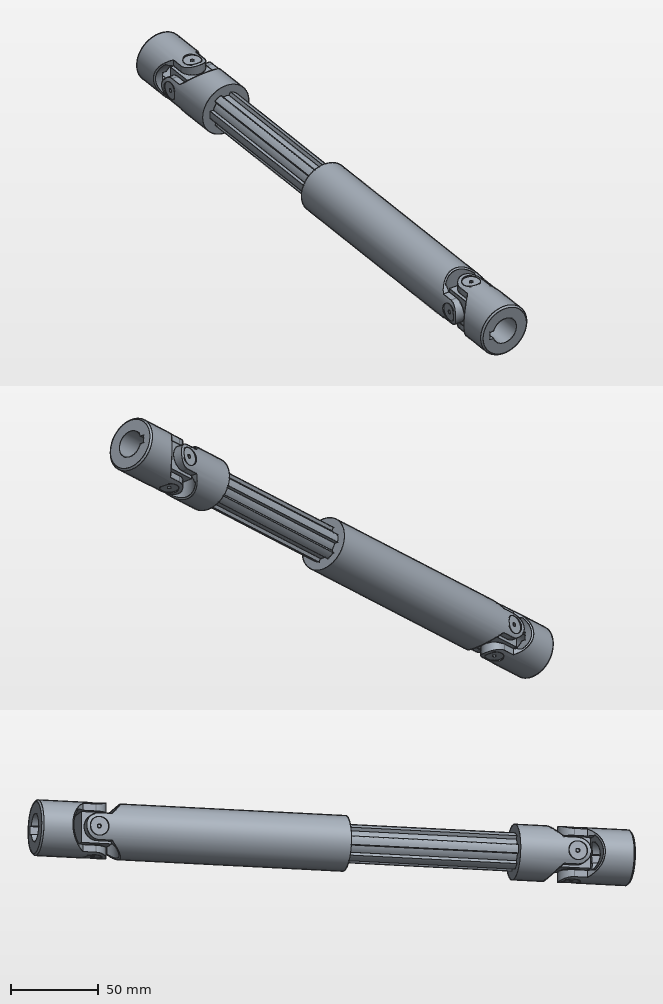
import cadquery as cq

total_length = 350.0
pin_offset = 34.0
left_joint_x = pin_offset
shaft_yoke_end_x = 2 * pin_offset
right_joint_x = total_length - pin_offset
sleeve_start_x = 167.5
spline_end_x = 297.0

outer_diameter = 32.0
outer_radius = outer_diameter / 2
arm_width = 15.5
arm_radius = arm_width / 2
fork_gap = 20.0
crotch_diameter = 30.0
bore_diameter = 16.0
keyway_width = 5.0
keyway_reach = 10.0
end_chamfer = 1.0

block_side = 18.0
pin_diameter = 11.0
pin_length = 30.0
dimple_diameter = 2.2
dimple_depth = 1.0

spline_count = 6
spline_root_diameter = 18.0
spline_outer_diameter = 22.0
spline_width = 5.0


def rod(diameter, start_x, end_x):
    """A cylinder about the X axis."""
    return cq.Workplane("YZ", origin=(start_x, 0, 0)).circle(diameter / 2).extrude(end_x - start_x)


def yoke(hub_length):
    """A yoke with its pin axis along Z through the origin and its hub running towards -X."""
    body = rod(outer_diameter, -hub_length, arm_radius)

    side_outline = (
        cq.Workplane("XY")
        .moveTo(-hub_length, -outer_radius)
        .lineTo(-outer_radius, -outer_radius)
        .lineTo(-arm_radius, -arm_radius)
        .lineTo(0, -arm_radius)
        .threePointArc((arm_radius, 0), (0, arm_radius))
        .lineTo(-arm_radius, arm_radius)
        .lineTo(-outer_radius, outer_radius)
        .lineTo(-hub_length, outer_radius)
        .close()
        .extrude(outer_radius, both=True)
    )
    body = body.intersect(side_outline)

    crotch = cq.Workplane("XZ").circle(crotch_diameter / 2).extrude(outer_radius, both=True)
    gap = cq.Workplane("XY").box(crotch_diameter, outer_diameter, fork_gap)
    body = body.cut(crotch.intersect(gap))

    pin_hole = cq.Workplane("XY").circle(pin_diameter / 2).extrude(outer_radius, both=True)
    return body.cut(pin_hole)


def end_yoke():
    """A yoke with a chamfered hub end and a keyed bore that opens into the crotch."""
    bore = rod(bore_diameter, -pin_offset, 0)
    keyway = cq.Workplane("XY").box(pin_offset, keyway_reach, keyway_width, centered=(False, False, True))
    keyway = keyway.translate((-pin_offset, -keyway_reach, 0))
    body = yoke(pin_offset).faces("<X").edges().chamfer(end_chamfer)
    return body.cut(bore).cut(keyway)


def turned_yoke(hub_length):
    """A yoke turned a quarter turn about X, so that its pin axis lies along Y."""
    return yoke(hub_length).rotate((0, 0, 0), (1, 0, 0), 90)


def splined_bar(start_x, end_x):
    """A bar about the X axis with straight-sided teeth, one of them on +Y."""
    bar = rod(spline_root_diameter, start_x, end_x)
    length = end_x - start_x
    tooth = cq.Workplane("XY").box(
        length, spline_outer_diameter / 2, spline_width, centered=(False, False, True)
    )
    tooth = tooth.translate((start_x, 0, 0)).intersect(rod(spline_outer_diameter, start_x, end_x))
    for index in range(spline_count):
        bar = bar.union(tooth.rotate((0, 0, 0), (1, 0, 0), index * 360 / spline_count))
    return bar


def cross():
    """A cube with a pin along Y and a pin along Z, dimpled at every pin end."""
    body = cq.Workplane("XY").box(block_side, block_side, block_side)
    pin = cq.Workplane("XY").circle(pin_diameter / 2).extrude(pin_length / 2, both=True)
    for side in (-1, 1):
        dimple = cq.Workplane("XY", origin=(0, 0, side * pin_length / 2)).circle(dimple_diameter / 2)
        pin = pin.cut(dimple.extrude(-side * dimple_depth))
    return body.union(pin).union(pin.rotate((0, 0, 0), (1, 0, 0), 90))


def mirrored(body):
    """Mirror a yoke so that its hub runs towards +X instead of -X."""
    return body.mirror("YZ")


left_end_yoke = end_yoke().translate((left_joint_x, 0, 0))
right_end_yoke = mirrored(end_yoke()).translate((right_joint_x, 0, 0))

splined_shaft = mirrored(turned_yoke(pin_offset)).translate((left_joint_x, 0, 0))
splined_shaft = splined_shaft.union(splined_bar(shaft_yoke_end_x, spline_end_x))

splined_sleeve = turned_yoke(right_joint_x - sleeve_start_x).translate((right_joint_x, 0, 0))
splined_sleeve = splined_sleeve.cut(splined_bar(sleeve_start_x, spline_end_x))

crosses = [cross().translate((x, 0, 0)) for x in (left_joint_x, right_joint_x)]

result = cq.Compound.makeCompound([
    left_end_yoke.val(),
    splined_shaft.val(),
    splined_sleeve.val(),
    right_end_yoke.val(),
    *[piece.val() for piece in crosses],
])